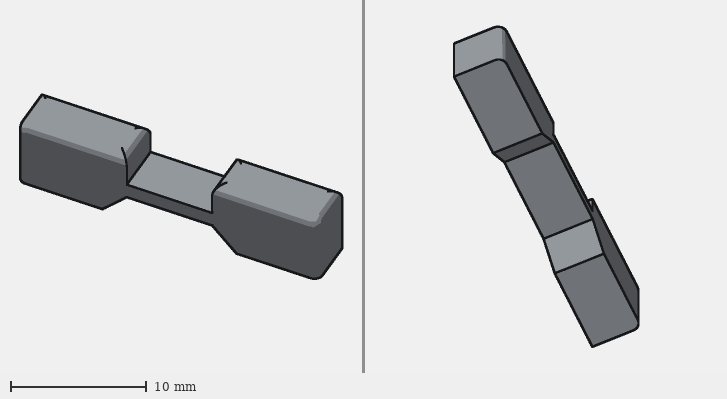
import cadquery as cq

length = 24.77
depth = 4.0
height = 6.0

left_block_length = 9.02
web_length = 7.0
web_bottom = 2.0
web_thickness = 1.26
web_top = web_bottom + web_thickness

bottom_chamfer = web_bottom
corner_radius = 0.67
top_radius = 1.0

web_start = left_block_length
web_end = web_start + web_length


def block(x_start, x_end):
    """Block rounded along its top, with one front vertical edge rounded at its outer end."""
    outer_edge = "|Z and <Y and <X" if x_start == 0 else "|Z and <Y and >X"
    body = cq.Workplane("XY").box(x_end - x_start, depth, height, centered=False)
    body = body.edges(outer_edge).fillet(corner_radius)
    body = body.faces(">Z").edges().fillet(top_radius)
    return body.translate((x_start, 0, 0))


def chamfer_cutter(x_inner, x_outer):
    """Triangular prism removed from the lower inner edge of a block."""
    corners = [(x_inner, 0), (x_outer, 0), (x_inner, bottom_chamfer)]
    return cq.Workplane("XZ").polyline(corners).close().extrude(-depth)


left_block = block(0, web_start).cut(chamfer_cutter(web_start, web_start - bottom_chamfer))
right_block = block(web_end, length).cut(chamfer_cutter(web_end, web_end + bottom_chamfer))

web = (
    cq.Workplane("XY")
    .box(web_length, depth, web_thickness, centered=False)
    .translate((web_start, 0, web_bottom))
)

result = left_block.union(web).union(right_block)